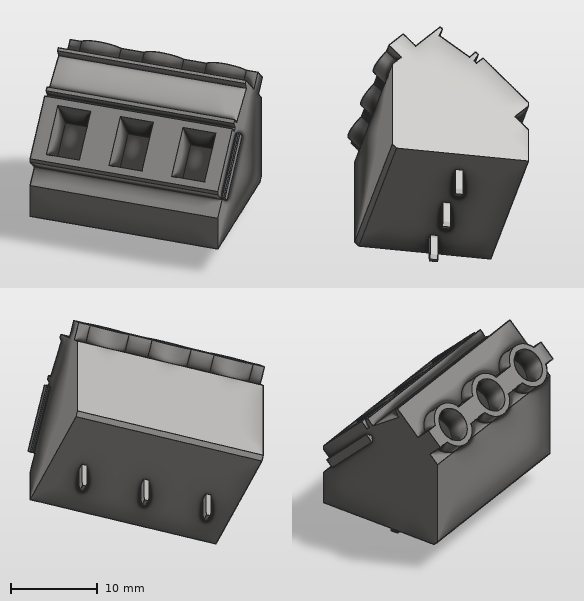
import cadquery as cq
import math


POLE_COUNT = 3
POLE_PITCH = 7.62
HOUSING_WIDTH = POLE_COUNT * POLE_PITCH

HOUSING_DEPTH = 16.05
HOUSING_TOP = 16.82
REAR_CHAMFER = 0.5
LOWER_FRONT_HEIGHT = 4.2
FRONT_NOTCH_DEPTH = 1.6
FRONT_LIP_THICKNESS = 0.45
ENTRY_FACE_RISE = 5.37
REAR_FACE_BOTTOM = 11.2

OPENING_WIDTH = 4.0
POCKET_MOUTH_LENGTH = 5.91
POCKET_DEPTH = 4.83
POCKET_DRAFT = 10.0

COLLAR_DIAMETER = 5.37
COLLAR_HEIGHT = 2.06
COLLAR_BAR_WIDTH = 2.4
SCREW_HOLE_DEPTH = 3.05

RAIL_LENGTH = 7.85
RAIL_HEIGHT = 0.59
RAIL_NECK_WIDTH = 0.45
RAIL_HEAD_WIDTH = 1.1
RAIL_NECK_HEIGHT = 0.15
RAIL_HEAD_HEIGHT = 0.16
RAIL_CENTER_Y = 4.04
RAIL_CENTER_Z = 8.94

PIN_WIDTH = 0.65
PIN_THICKNESS = 0.91
PIN_LENGTH = 3.2
PIN_TIP_WIDTH = 0.45
PIN_TIP_LENGTH = 0.59
PIN_CENTER_Y = 7.48

NOTCH_Z = LOWER_FRONT_HEIGHT + FRONT_NOTCH_DEPTH
LIP_BOTTOM = NOTCH_Z + FRONT_NOTCH_DEPTH
ENTRY_FACE_BOTTOM = LIP_BOTTOM + FRONT_LIP_THICKNESS
ENTRY_FACE_TOP = ENTRY_FACE_BOTTOM + ENTRY_FACE_RISE
REAR_FACE_TOP_Y = HOUSING_DEPTH - (HOUSING_TOP - REAR_FACE_BOTTOM)

UP_THE_FRONT = (0, 1, 1)
POLE_X = [(i + 0.5) * POLE_PITCH for i in range(POLE_COUNT)]


def make_housing_block():
    """Side profile extruded along the row, with two thin lips on the sloping roof."""
    profile = [
        (0, 0),
        (HOUSING_DEPTH - REAR_CHAMFER, 0),
        (HOUSING_DEPTH, REAR_CHAMFER),
        (HOUSING_DEPTH, REAR_FACE_BOTTOM),
        (REAR_FACE_TOP_Y, HOUSING_TOP),
        (10.13, 16.56),
        (10.53, 15.67),
        (6.95, 13.15),
        (6.25, 13.94),
        (5.91, 13.6),
        (6.4, 12.76),
        (6.15, 12.43),
        (ENTRY_FACE_RISE, ENTRY_FACE_TOP),
        (0, ENTRY_FACE_BOTTOM),
        (0, LIP_BOTTOM),
        (FRONT_NOTCH_DEPTH, NOTCH_Z),
        (0, LOWER_FRONT_HEIGHT),
    ]
    return cq.Workplane("YZ").polyline(profile).close().extrude(HOUSING_WIDTH)


def make_wire_pocket(pole_x):
    """Pocket square to the entry face; its upper and lower walls draw together inwards."""
    start = (
        pole_x - OPENING_WIDTH / 2,
        ENTRY_FACE_RISE / 2,
        (ENTRY_FACE_BOTTOM + ENTRY_FACE_TOP) / 2,
    )
    side = cq.Plane(origin=start, xDir=UP_THE_FRONT, normal=(1, 0, 0))
    half_mouth = POCKET_MOUTH_LENGTH / 2
    half_floor = half_mouth - POCKET_DEPTH * math.tan(math.radians(POCKET_DRAFT))
    outline = [
        (-half_mouth, 0),
        (half_mouth, 0),
        (half_floor, -POCKET_DEPTH),
        (-half_floor, -POCKET_DEPTH),
    ]
    return cq.Workplane(side).polyline(outline).close().extrude(OPENING_WIDTH)


def rear_face_plane(pole_x, height):
    """Plane parallel to the rear face, centred on a pole's screw axis at a height above it."""
    axis_offset = COLLAR_DIAMETER / 2 / math.sqrt(2)
    lift = height / math.sqrt(2)
    center = (
        pole_x,
        HOUSING_DEPTH - axis_offset + lift,
        REAR_FACE_BOTTOM + axis_offset + lift,
    )
    return cq.Plane(origin=center, xDir=(1, 0, 0), normal=UP_THE_FRONT)


def make_collar_bar():
    plane = rear_face_plane(HOUSING_WIDTH / 2, 0)
    return cq.Workplane(plane).rect(HOUSING_WIDTH, COLLAR_BAR_WIDTH).extrude(COLLAR_HEIGHT)


def make_collar(pole_x):
    return cq.Workplane(rear_face_plane(pole_x, 0)).circle(COLLAR_DIAMETER / 2).extrude(COLLAR_HEIGHT)


def make_screw_hole(pole_x):
    plane = rear_face_plane(pole_x, COLLAR_HEIGHT)
    return cq.Workplane(plane).circle(OPENING_WIDTH / 2).extrude(-SCREW_HOLE_DEPTH)


def make_rail():
    """Dovetail rail that runs parallel to the entry face."""
    center = (HOUSING_WIDTH, RAIL_CENTER_Y, RAIL_CENTER_Z)
    section = cq.Plane(origin=center, xDir=(1, 0, 0), normal=UP_THE_FRONT)
    head_start = RAIL_HEIGHT - RAIL_HEAD_HEIGHT
    half_section = [
        (0, RAIL_NECK_WIDTH / 2),
        (RAIL_NECK_HEIGHT, RAIL_NECK_WIDTH / 2),
        (head_start, RAIL_HEAD_WIDTH / 2),
        (RAIL_HEIGHT, RAIL_HEAD_WIDTH / 2),
    ]
    mirrored = [(x, -y) for x, y in reversed(half_section)]
    outline = half_section + mirrored
    return cq.Workplane(section).polyline(outline).close().extrude(RAIL_LENGTH / 2, both=True)


def make_housing():
    body = make_housing_block().union(make_collar_bar()).union(make_rail())
    for x in POLE_X:
        body = body.union(make_collar(x))
    for x in POLE_X:
        body = body.cut(make_screw_hole(x)).cut(make_wire_pocket(x))
    return body


def make_pin(pole_x):
    """Flat pin hanging from the underside, tapered in width at its tip."""
    shank_end = PIN_TIP_LENGTH - PIN_LENGTH
    outline = [
        (pole_x - PIN_WIDTH / 2, 0),
        (pole_x + PIN_WIDTH / 2, 0),
        (pole_x + PIN_WIDTH / 2, shank_end),
        (pole_x + PIN_TIP_WIDTH / 2, -PIN_LENGTH),
        (pole_x - PIN_TIP_WIDTH / 2, -PIN_LENGTH),
        (pole_x - PIN_WIDTH / 2, shank_end),
    ]
    mid_plane = cq.Workplane("XZ", origin=(0, PIN_CENTER_Y, 0))
    return mid_plane.polyline(outline).close().extrude(PIN_THICKNESS / 2, both=True)


housing = make_housing()
pins = [make_pin(x) for x in POLE_X]

result = cq.Compound.makeCompound([housing.solids().val(), *[pin.val() for pin in pins]])